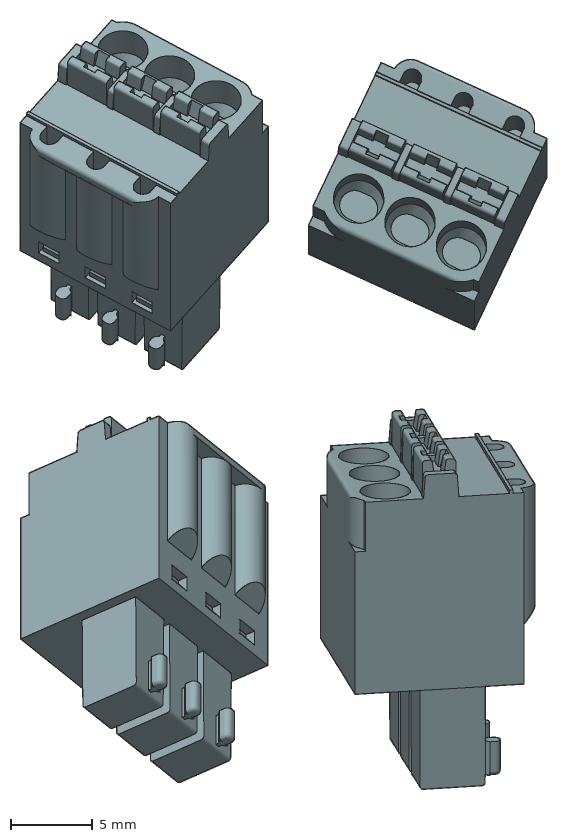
import cadquery as cq
import math

TOTAL_HEIGHT = 21.4
PITCH = 3.499
POLE_X = [-PITCH, 0, PITCH]

WIDTH = 11.3
DEPTH = 10.61
HOUSING_BOTTOM = 6.7
HOUSING_TOP = 19.15
EDGE_RADIUS = 0.28

COLUMN_REACH = 1.1
COLUMN_HALF_CHORD = 1.25
COLUMN_RADIUS = (COLUMN_HALF_CHORD**2 + COLUMN_REACH**2) / (2 * COLUMN_REACH)
COLUMN_START = 10.1
BAR_HEIGHT = 0.66

ENTRY_SHIFT = -0.21
ENTRY_X = [x + ENTRY_SHIFT for x in POLE_X]
ENTRY_Y = 8.35
ENTRY_DIAMETER = 3.1
ENTRY_FLOOR_LENGTH = 2.4
ENTRY_FLOOR_WIDTH = 1.86
ENTRY_BORE_DEPTH = 2.12
FUNNEL_DEPTH = 0.65

NOTCH_DEPTH = 0.65
NOTCH_HEIGHT = 3.19

TEST_WIDTH = 1.2
TEST_DEPTH = 4.28
TEST_FRONT = -0.5
BEAD_Y = 0.68
BEAD_WIDTH = 0.21
BEAD_HEIGHT = 0.21

WINDOW_WIDTH = 1.52
WINDOW_BOTTOM = 7.45
WINDOW_HEIGHT = 1.07
WINDOW_DEPTH = 0.65
LATCH_WIDTH = 1.25
LATCH_FRONT = 0.28
LATCH_STEP = 0.36
LATCH_HEIGHT = 0.8

LEVER_Y = 5.2
LEVER_WIDTH = 2.93
LEVER_THICKNESS = 2.1
LEVER_EDGE_RADIUS = 0.21
PRONG_EDGE_RADIUS = 0.15
LEVER_FLOOR = 20.33
LEVER_GAP_BOTTOM = 0.58
LEVER_GAP_TOP = 0.9
FLARE_WIDTH = 0.83
FLARE_BOTTOM = 0.83
FLARE_TOP = 1.63
POST_TOP = 20.7
POST_BASE_THICKNESS = 2.23
POST_TOP_THICKNESS = 2.0
POST_EDGE_RADIUS = 0.2
POST_CLEARANCE = 0.06

LEG_TOP_WIDTH = 2.9
LEG_TIP_WIDTH = 2.78
LEG_FRONT = 2.3
LEG_BACK = 6.4
LEG_TIP_RADIUS = 0.21

KEY_TIP = 1.1
KEY_BOTTOM = 0.3
KEY_TOP = 2.5
KEY_HALF_WIDTH = 0.43
KEY_NECK_HALF_WIDTH = 0.15
KEY_NECK_LENGTH = 0.2
KEY_FLARE_LENGTH = 0.28
KEY_NOSE_RADIUS = 0.36
KEY_TIP_RADIUS = 0.25


def box(x_size, y_min, y_max, z_min, z_max, x=0):
    """Block centred on x, given by its limits in Y and Z."""
    block = cq.Workplane("XY").box(x_size, y_max - y_min, z_max - z_min, centered=(True, False, False))
    return block.translate((x, y_min, z_min))


def side_prism(points, x_size):
    """Closed Y-Z outline extruded symmetrically along X."""
    return cq.Workplane("YZ").polyline(points).close().extrude(x_size / 2, both=True)


def at_poles(shape):
    """Copies of a shape at every pole, as one workplane."""
    copies = cq.Workplane("XY")
    for x in POLE_X:
        copies = copies.add(shape.translate((x, 0, 0)))
    return copies.combine()


def make_housing():
    """Block with front columns, trimmed by a side profile with a 45 degree ramp and rounded top edges."""
    height = HOUSING_TOP - HOUSING_BOTTOM
    columns = (
        cq.Workplane("XY", origin=(0, COLUMN_RADIUS - COLUMN_REACH, HOUSING_BOTTOM))
        .pushPoints([(x, 0) for x in POLE_X])
        .circle(COLUMN_RADIUS)
        .extrude(height)
    )
    bar = box(2 * PITCH, -COLUMN_REACH, COLUMN_RADIUS, HOUSING_TOP - BAR_HEIGHT, HOUSING_TOP)
    block = box(WIDTH, 0, DEPTH, HOUSING_BOTTOM, HOUSING_TOP)
    profile = [
        (0, HOUSING_BOTTOM),
        (0, COLUMN_START),
        (-COLUMN_REACH, COLUMN_START + COLUMN_REACH),
        (-COLUMN_REACH, HOUSING_TOP),
        (DEPTH, HOUSING_TOP),
        (DEPTH, HOUSING_BOTTOM),
    ]
    envelope = side_prism(profile, WIDTH).edges("|X and >Z").fillet(EDGE_RADIUS)
    return block.union(columns).union(bar).intersect(envelope)


def make_corner_notches():
    """Strip along the upper rear edge, less the rounded wall kept around the wire entries."""
    bottom = HOUSING_TOP - NOTCH_HEIGHT
    strip = box(WIDTH, DEPTH - NOTCH_DEPTH, DEPTH, bottom, HOUSING_TOP)
    wall_radius = DEPTH - ENTRY_Y
    rounds = (
        cq.Workplane("XY", origin=(0, ENTRY_Y, bottom))
        .pushPoints([(ENTRY_X[0], 0), (ENTRY_X[-1], 0)])
        .circle(wall_radius)
        .extrude(NOTCH_HEIGHT)
    )
    middle = box(ENTRY_X[-1] - ENTRY_X[0], ENTRY_Y, DEPTH, bottom, HOUSING_TOP, ENTRY_SHIFT)
    return strip.cut(rounds).cut(middle)


def make_wire_entry():
    """Round bore that funnels at its foot to a slot-shaped floor."""
    mouth_radius = ENTRY_DIAMETER / 2
    floor_end = ENTRY_FLOOR_LENGTH / 2
    flat_y = ENTRY_FLOOR_WIDTH / 2
    flat_x = floor_end - flat_y
    bearing = math.atan2(flat_y, flat_x)
    mouth_x = mouth_radius * math.cos(bearing)
    mouth_y = mouth_radius * math.sin(bearing)
    floor = (
        cq.Workplane("XY")
        .moveTo(flat_x, -flat_y)
        .threePointArc((floor_end, 0), (flat_x, flat_y))
        .lineTo(-flat_x, flat_y)
        .threePointArc((-floor_end, 0), (-flat_x, -flat_y))
        .close()
    )
    funnel = (
        floor.workplane(offset=FUNNEL_DEPTH)
        .moveTo(mouth_x, -mouth_y)
        .threePointArc((mouth_radius, 0), (mouth_x, mouth_y))
        .threePointArc((0, mouth_radius), (-mouth_x, mouth_y))
        .threePointArc((-mouth_radius, 0), (-mouth_x, -mouth_y))
        .threePointArc((0, -mouth_radius), (mouth_x, -mouth_y))
        .close()
        .loft(ruled=True)
    )
    bore = cq.Workplane("XY", origin=(0, 0, FUNNEL_DEPTH)).circle(mouth_radius).extrude(ENTRY_BORE_DEPTH)
    entry_floor = HOUSING_TOP - ENTRY_BORE_DEPTH - FUNNEL_DEPTH
    return bore.union(funnel).translate((ENTRY_SHIFT, ENTRY_Y, entry_floor))


def make_test_pocket():
    """Vertical pocket with a round front and a flat back."""
    radius = TEST_WIDTH / 2
    centre_y = TEST_FRONT + radius
    return (
        cq.Workplane("XY", origin=(0, 0, HOUSING_TOP - TEST_DEPTH))
        .moveTo(-radius, BEAD_Y)
        .lineTo(-radius, centre_y)
        .threePointArc((0, TEST_FRONT), (radius, centre_y))
        .lineTo(radius, BEAD_Y)
        .close()
        .extrude(TEST_DEPTH)
    )


def make_window():
    """Shallow front pocket that leaves a latch with a sloped top standing inside."""
    pocket = box(WINDOW_WIDTH, 0, WINDOW_DEPTH, WINDOW_BOTTOM, WINDOW_BOTTOM + WINDOW_HEIGHT)
    latch = side_prism(
        [
            (LATCH_FRONT, WINDOW_BOTTOM),
            (LATCH_FRONT, WINDOW_BOTTOM + LATCH_STEP),
            (WINDOW_DEPTH, WINDOW_BOTTOM + LATCH_HEIGHT),
            (WINDOW_DEPTH, WINDOW_BOTTOM),
        ],
        LATCH_WIDTH,
    )
    return pocket.cut(latch)


def tapered_slot(bottom_size, top_size, z_bottom, x_size):
    """Upward-opening trapezoid slot along X, centred on the lever line."""
    return side_prism(
        [
            (LEVER_Y - bottom_size / 2, z_bottom),
            (LEVER_Y - top_size / 2, TOTAL_HEIGHT),
            (LEVER_Y + top_size / 2, TOTAL_HEIGHT),
            (LEVER_Y + bottom_size / 2, z_bottom),
        ],
        x_size,
    )


def make_lever():
    """Two-pronged release lever with a flared tool groove in the middle."""
    half = LEVER_THICKNESS / 2
    lever = box(LEVER_WIDTH, LEVER_Y - half, LEVER_Y + half, HOUSING_TOP, TOTAL_HEIGHT)
    lever = lever.edges("|X and >Z").fillet(LEVER_EDGE_RADIUS)
    lever = lever.cut(tapered_slot(LEVER_GAP_BOTTOM, LEVER_GAP_TOP, LEVER_FLOOR, LEVER_WIDTH))
    inner = LEVER_GAP_TOP / 2 + PRONG_EDGE_RADIUS / 2
    inner_edges = cq.selectors.BoxSelector(
        (-LEVER_WIDTH, LEVER_Y - inner, TOTAL_HEIGHT - PRONG_EDGE_RADIUS / 2),
        (LEVER_WIDTH, LEVER_Y + inner, TOTAL_HEIGHT + PRONG_EDGE_RADIUS / 2),
    )
    lever = lever.edges(inner_edges).fillet(PRONG_EDGE_RADIUS)
    return lever.cut(tapered_slot(FLARE_BOTTOM, FLARE_TOP, LEVER_FLOOR, FLARE_WIDTH))


def make_guide_posts():
    """Tapered rail along X, parted into posts by a clearance space around each lever."""
    base_half = POST_BASE_THICKNESS / 2
    top_half = POST_TOP_THICKNESS / 2
    rail = side_prism(
        [
            (LEVER_Y - base_half, HOUSING_TOP),
            (LEVER_Y - top_half, POST_TOP),
            (LEVER_Y + top_half, POST_TOP),
            (LEVER_Y + base_half, HOUSING_TOP),
        ],
        WIDTH,
    )
    rail = rail.edges("|X and >Z").fillet(POST_EDGE_RADIUS)
    space_width = LEVER_WIDTH + 2 * POST_CLEARANCE
    space = box(space_width, LEVER_Y - base_half, LEVER_Y + base_half, HOUSING_TOP, POST_TOP)
    return rail.cut(at_poles(space))


def make_leg():
    """Plug leg, narrowing slightly to a tip with rounded front and rear edges."""
    top_half = LEG_TOP_WIDTH / 2
    tip_half = LEG_TIP_WIDTH / 2
    leg = (
        cq.Workplane("XZ", origin=(0, LEG_BACK, 0))
        .polyline([(-tip_half, 0), (tip_half, 0), (top_half, HOUSING_BOTTOM), (-top_half, HOUSING_BOTTOM)])
        .close()
        .extrude(LEG_BACK - LEG_FRONT)
    )
    return leg.edges("|X and <Z").fillet(LEG_TIP_RADIUS)


def make_key():
    """Coding key: a narrow neck that flares into a head with a rounded nose."""
    neck_y = LEG_FRONT - KEY_NECK_LENGTH
    head_y = neck_y - KEY_FLARE_LENGTH
    head = box(2 * KEY_HALF_WIDTH, KEY_TIP, head_y, KEY_BOTTOM, KEY_TOP)
    head = head.edges("|Z and <Y").fillet(KEY_NOSE_RADIUS)
    head = head.faces("<Z").edges("not >Y").fillet(KEY_TIP_RADIUS)
    neck_outline = [
        (-KEY_NECK_HALF_WIDTH, LEG_FRONT),
        (-KEY_NECK_HALF_WIDTH, neck_y),
        (-KEY_HALF_WIDTH, head_y),
        (KEY_HALF_WIDTH, head_y),
        (KEY_NECK_HALF_WIDTH, neck_y),
        (KEY_NECK_HALF_WIDTH, LEG_FRONT),
    ]
    neck = cq.Workplane("XY", origin=(0, 0, KEY_BOTTOM)).polyline(neck_outline).close()
    neck = neck.extrude(KEY_TOP - KEY_BOTTOM)
    return head.union(neck)


bead = box(WIDTH, BEAD_Y, BEAD_Y + BEAD_WIDTH, HOUSING_TOP, HOUSING_TOP + BEAD_HEIGHT)

result = make_housing().cut(make_corner_notches())
for cutter in (make_wire_entry(), make_test_pocket(), make_window()):
    result = result.cut(at_poles(cutter))
result = result.union(bead).union(make_guide_posts())
for addition in (make_lever(), make_leg(), make_key()):
    result = result.union(at_poles(addition))